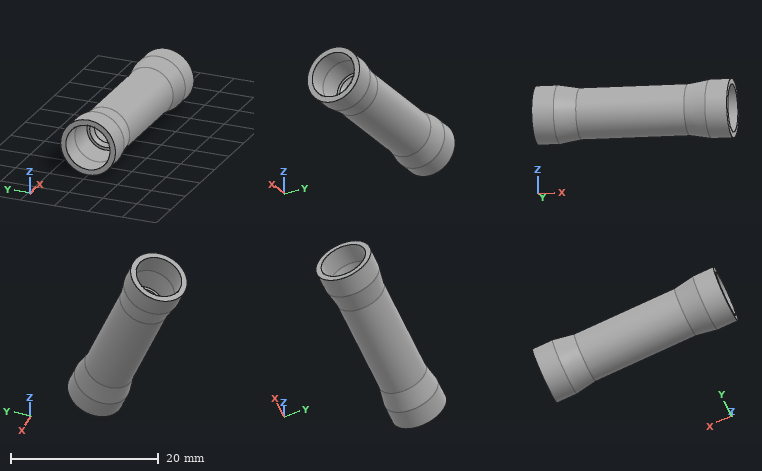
import cadquery as cq

length = 27.0
collar_diameter = 8.1
collar_bore_diameter = 6.48
collar_length = 3.02
flare_length = 3.0
waist_diameter = 7.1

barrel_diameter = 5.43
barrel_bore_diameter = 3.65
mouth_diameter = 4.65
mouth_depth = (mouth_diameter - barrel_bore_diameter) / 2

half_length = length / 2
collar_end = half_length - collar_length
waist_end = collar_end - flare_length


def make_sleeve():
    """Tube with a plain waist that flares out to a wider collar at each end."""
    collar_radius = collar_diameter / 2
    bore_radius = collar_bore_diameter / 2
    waist_radius = waist_diameter / 2
    barrel_radius = barrel_diameter / 2
    return (
        cq.Workplane("XY")
        .moveTo(-half_length, bore_radius)
        .lineTo(-half_length, collar_radius)
        .lineTo(-collar_end, collar_radius)
        .lineTo(-waist_end, waist_radius)
        .lineTo(waist_end, waist_radius)
        .lineTo(collar_end, collar_radius)
        .lineTo(half_length, collar_radius)
        .lineTo(half_length, bore_radius)
        .lineTo(collar_end, bore_radius)
        .lineTo(waist_end, barrel_radius)
        .lineTo(-waist_end, barrel_radius)
        .lineTo(-collar_end, bore_radius)
        .close()
        .revolve(360, (0, 0, 0), (1, 0, 0))
    )


def make_barrel():
    """Straight tube filling the waist, with a conical mouth at each end of its bore."""
    return (
        cq.Workplane("YZ", origin=(-waist_end, 0, 0))
        .circle(barrel_diameter / 2)
        .circle(barrel_bore_diameter / 2)
        .extrude(2 * waist_end)
        .faces("<X or >X")
        .edges(cq.selectors.RadiusNthSelector(0))
        .chamfer(mouth_depth)
    )


sleeve = make_sleeve()
barrel = make_barrel()

result = cq.Compound.makeCompound([sleeve.val(), barrel.val()])